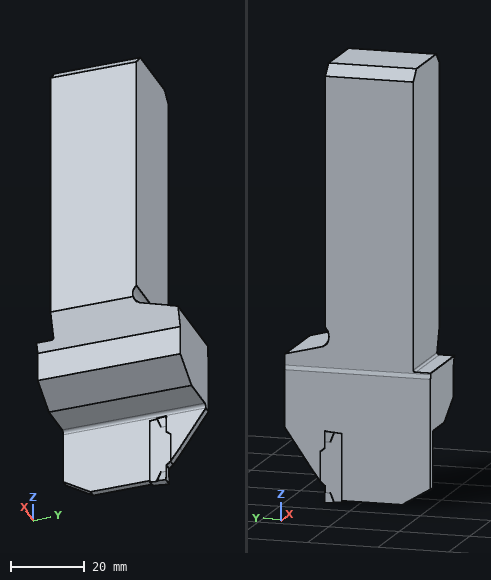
import cadquery as cq

TOTAL_HEIGHT = 121.9
TOTAL_WIDTH = 25.5
SHANK_DEPTH = 25.0
HEAD_FRONT = -5.0
HEAD_BACK = 36.5

BLADE_SIDE = 0.1
SHANK_SIDE = 0.5
BLADE_INNER = 2.3
HEAD_SIDE = 22.1
TOP_CHAMFER = 3.0
STEP_BOTTOM = 36.5
STEP_TOP = 37.7
FLANK_TOP = 45.3
FLANK_BOTTOM = 35.2
HEAD_CORNER_HEIGHT = 26.7
HEAD_CORNER_X = 13.4
HEAD_BOTTOM = 21.5
BLADE_FILLET = 1.0

BLADE_BOTTOM = 0.9
NOSE_Y = 2.9
NOSE_HEIGHT = 5.6
LEDGE_HEIGHT = 38.0
LEDGE_FILLET = 0.6
BACK_TOP = 40.7
BACK_BOTTOM = 20.4
BACK_BEND = (28.9, 9.4)
RELIEF_TOP = 48.6
RELIEF_MIDDLE = (23.9, 46.2)
RELIEF_END = (25.8, 43.4)

INSERT_HEIGHT = 20.0
INSERT_MIDDLE = INSERT_HEIGHT / 2
INSERT_FRONT = 20.2
INSERT_BACK = 25.0
INSERT_BULGE = 26.2
BULGE_HALF_HEIGHT = 4.3
BULGE_BASE_HALF_HEIGHT = 5.2
END_RELIEF = 0.4
TIP_WIDTH = 2.7
TIP_HEIGHT = 2.9
TIP_FLAT_Y = 23.4
TIP_CORNER_Y = 22.3


def end_inset(y):
    """Clearance of an insert end, growing from the cutting edge to the front."""
    return END_RELIEF * (INSERT_BACK - y) / (INSERT_BACK - INSERT_FRONT)


def extrude_along_x(outline, start, end):
    return outline.extrude(end - start).translate((start, 0, 0))


def make_width_profile():
    """Outline of the holder in X and Z, extruded over the full depth."""
    outline = (
        cq.Workplane("XZ", origin=(0, HEAD_BACK, 0))
        .moveTo(BLADE_SIDE, BLADE_BOTTOM)
        .lineTo(BLADE_SIDE, STEP_BOTTOM)
        .lineTo(SHANK_SIDE, STEP_TOP)
        .lineTo(SHANK_SIDE, TOTAL_HEIGHT - TOP_CHAMFER)
        .lineTo(SHANK_SIDE + TOP_CHAMFER, TOTAL_HEIGHT)
        .lineTo(TOTAL_WIDTH - TOP_CHAMFER, TOTAL_HEIGHT)
        .lineTo(TOTAL_WIDTH, TOTAL_HEIGHT - TOP_CHAMFER)
        .lineTo(TOTAL_WIDTH, FLANK_TOP)
        .lineTo(HEAD_SIDE, FLANK_BOTTOM)
        .lineTo(HEAD_SIDE, HEAD_CORNER_HEIGHT)
        .lineTo(HEAD_CORNER_X, HEAD_BOTTOM)
        .lineTo(BLADE_INNER + BLADE_FILLET, HEAD_BOTTOM)
        .radiusArc((BLADE_INNER, HEAD_BOTTOM - BLADE_FILLET), -BLADE_FILLET)
        .lineTo(BLADE_INNER, BLADE_BOTTOM)
        .close()
    )
    return outline.extrude(HEAD_BACK - HEAD_FRONT)


def make_depth_profile():
    """Outline of the holder in Y and Z, extruded over the full width."""
    bulge_bottom = INSERT_MIDDLE - BULGE_HALF_HEIGHT
    outline = (
        cq.Workplane("YZ")
        .moveTo(0, TOTAL_HEIGHT)
        .lineTo(SHANK_DEPTH, TOTAL_HEIGHT)
        .lineTo(SHANK_DEPTH, RELIEF_TOP)
        .threePointArc(RELIEF_MIDDLE, RELIEF_END)
        .lineTo(HEAD_BACK, BACK_TOP)
        .lineTo(HEAD_BACK, BACK_BOTTOM)
        .lineTo(*BACK_BEND)
        .lineTo(INSERT_BULGE, bulge_bottom)
        .lineTo(INSERT_FRONT, bulge_bottom)
        .lineTo(INSERT_FRONT, BLADE_BOTTOM)
        .lineTo(NOSE_Y, BLADE_BOTTOM)
        .lineTo(HEAD_FRONT, NOSE_HEIGHT)
        .lineTo(HEAD_FRONT, LEDGE_HEIGHT)
        .lineTo(-LEDGE_FILLET, LEDGE_HEIGHT)
        .radiusArc((0, LEDGE_HEIGHT + LEDGE_FILLET), -LEDGE_FILLET)
        .close()
    )
    return extrude_along_x(outline, 0, TOTAL_WIDTH)


def make_insert_body():
    front_inset = end_inset(INSERT_FRONT)
    outline = cq.Workplane("YZ").polyline([
        (INSERT_FRONT, front_inset),
        (INSERT_BACK, 0),
        (INSERT_BACK, INSERT_MIDDLE - BULGE_BASE_HALF_HEIGHT),
        (INSERT_BULGE, INSERT_MIDDLE - BULGE_HALF_HEIGHT),
        (INSERT_BULGE, INSERT_MIDDLE + BULGE_HALF_HEIGHT),
        (INSERT_BACK, INSERT_MIDDLE + BULGE_BASE_HALF_HEIGHT),
        (INSERT_BACK, INSERT_HEIGHT),
        (INSERT_FRONT, INSERT_HEIGHT - front_inset),
    ]).close()
    return extrude_along_x(outline, BLADE_SIDE, BLADE_INNER)


def make_lower_tip():
    """Cutting tip, widest at its edge and tapering to the insert body's width."""
    outline = cq.Workplane("YZ").polyline([
        (INSERT_BACK, 0),
        (INSERT_BACK, TIP_HEIGHT),
        (TIP_FLAT_Y, TIP_HEIGHT),
        (TIP_CORNER_Y, end_inset(TIP_CORNER_Y)),
    ]).close()
    taper = (
        cq.Workplane("XZ", origin=(0, INSERT_BACK, 0))
        .polyline([(0, 0), (TIP_WIDTH, 0), (BLADE_INNER, TIP_HEIGHT), (BLADE_SIDE, TIP_HEIGHT)])
        .close()
        .extrude(INSERT_BACK - INSERT_FRONT)
    )
    return extrude_along_x(outline, 0, TIP_WIDTH).intersect(taper)


def make_insert():
    lower_tip = make_lower_tip()
    upper_tip = lower_tip.mirror("XY", (0, 0, INSERT_MIDDLE))
    return make_insert_body().union(lower_tip).union(upper_tip)


def make_holder(insert):
    """Holder with a seat that matches the insert."""
    return make_width_profile().intersect(make_depth_profile()).cut(insert)


insert = make_insert()
holder = make_holder(insert)
result = cq.Compound.makeCompound([holder.solids().val(), insert.solids().val()])